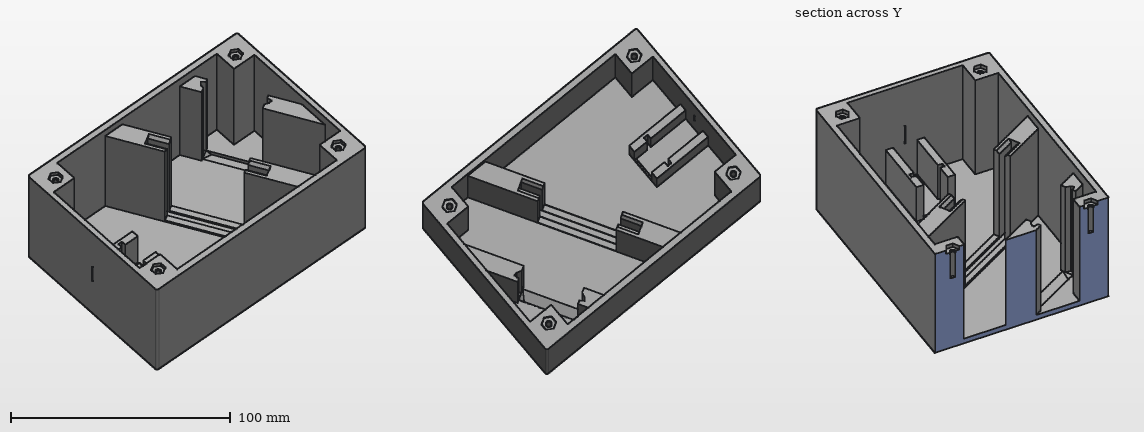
import cadquery as cq
import math

LENGTH_X = 89.0
LENGTH_Y = 126.7
HEIGHT = 58.0
SIDE_WALL = 3.2
END_WALL = 2.7
FLOOR = 3.0
CORNER_RADIUS = 1.0

POST_X = 11.8
POST_Y = 12.4
SCREW_X = 35.3
SCREW_Y = 54.5
NUT_FLATS = 5.8
NUT_DEPTH = 2.0
LEAD_DIAMETER = 2.8
LEAD_DEPTH = 1.0
SCREW_DIAMETER = 2.3
SCREW_DEPTH = 15.2

RAIL_ANGLE = 30.0
GROOVE_RAIL_TOP = 52.7
SLOT_RAIL_TOP = 53.7
RAIL_REACH = LENGTH_X + LENGTH_Y
GAP_CENTRE = 2.3

SLOT_RAIL_CENTRE = 8.5
SLOT_RAIL_WIDTH = 9.0
SLOT_RAIL_GAP = 38.0
SLOT_WIDTH = 2.9
SLOT_LENGTH = 58.4
SLOT_CHAMFER = 1.5
SILL_HEIGHT = 1.0

GROOVE_RAIL_CENTRE = 47.0
GROOVE_RAIL_WIDTH = 8.0
GROOVE_RAIL_GAP = 29.3
GROOVE_MOUTH = 49.3
GROOVE_BACK = 48.7
GROOVE_SHOULDER = 47.1
GROOVE_FRONT = 45.5
GROOVE_DEEP = 2.4
GROOVE_SHALLOW = 1.9
RAMP_FRONT = 44.1
RAMP_BACK = 49.4
RAMP_DEPTH = 2.0
RAMP_END_INSET = 2.7

HOLDER_WIDTH = 19.8
HOLDER_END = -30.4
HOLDER_HEIGHT = 20.0
CHANNEL_WIDTH = 12.3
THRESHOLD = 1.0
PLATE_SLOT_LENGTH = 17.0
PLATE_SLOT_WIDTH = 2.2
PLATE_SLOT_Y = -39.0

SLIT_WIDTH = 0.5
SLIT_HEIGHT = 10.1
SLIT_Z = 28.3

INNER_X = LENGTH_X - 2 * SIDE_WALL
INNER_Y = LENGTH_Y - 2 * END_WALL
INNER_FRONT = -INNER_Y / 2


def block(size_x, size_y, bottom, top, x=0.0, y=0.0):
    """Upright box centred on (x, y) between two heights."""
    return cq.Workplane("XY").box(size_x, size_y, top - bottom).translate((x, y, (bottom + top) / 2))


def turned(body):
    """Turn a body from along/across directions into the box directions."""
    return body.rotate((0, 0, 0), (0, 0, 1), RAIL_ANGLE)


def make_shell():
    shell = block(LENGTH_X, LENGTH_Y, 0, HEIGHT).edges("|Z").fillet(CORNER_RADIUS)
    long_space = block(INNER_X - 2 * POST_X, INNER_Y, FLOOR, HEIGHT)
    wide_space = block(INNER_X, INNER_Y - 2 * POST_Y, FLOOR, HEIGHT)
    return shell.cut(long_space.union(wide_space))


def make_screw_holes():
    nut_corners = NUT_FLATS / math.cos(math.radians(30))
    lead_top = HEIGHT - NUT_DEPTH
    centres = [(x, y) for x in (-SCREW_X, SCREW_X) for y in (-SCREW_Y, SCREW_Y)]
    top = cq.Workplane("XY").workplane(offset=HEIGHT).pushPoints(centres)
    nuts = top.polygon(6, nut_corners).extrude(-NUT_DEPTH)
    seat = cq.Workplane("XY").workplane(offset=lead_top).pushPoints(centres)
    leads = seat.circle(LEAD_DIAMETER / 2).extrude(-LEAD_DEPTH)
    screws = seat.circle(SCREW_DIAMETER / 2).extrude(-SCREW_DEPTH)
    return nuts.union(leads).union(screws)


def make_rail(across, width, top, gap, gap_bottom):
    """Full-length rail, lowered to gap_bottom between its two posts."""
    rail = block(RAIL_REACH, width, 0, top, 0, across)
    return rail.cut(block(gap, width, gap_bottom, top, GAP_CENTRE, across))


def make_slot_rail():
    rail = make_rail(SLOT_RAIL_CENTRE, SLOT_RAIL_WIDTH, SLOT_RAIL_TOP, SLOT_RAIL_GAP, FLOOR + SILL_HEIGHT)
    half_slot = SLOT_WIDTH / 2
    half_mouth = half_slot + SLOT_CHAMFER
    profile = [
        (-half_slot, FLOOR),
        (half_slot, FLOOR),
        (half_slot, SLOT_RAIL_TOP - SLOT_CHAMFER),
        (half_mouth, SLOT_RAIL_TOP),
        (-half_mouth, SLOT_RAIL_TOP),
        (-half_slot, SLOT_RAIL_TOP - SLOT_CHAMFER),
    ]
    slot = cq.Workplane("YZ").polyline(profile).close().extrude(SLOT_LENGTH / 2, both=True)
    return rail.cut(slot.translate((GAP_CENTRE, SLOT_RAIL_CENTRE, 0)))


def make_groove_rail():
    rail = make_rail(GROOVE_RAIL_CENTRE, GROOVE_RAIL_WIDTH, GROOVE_RAIL_TOP, GROOVE_RAIL_GAP, FLOOR)
    for side in (-1, 1):
        post_face = GROOVE_RAIL_GAP / 2
        profile = [
            (side * post_face, GROOVE_MOUTH),
            (side * (post_face + GROOVE_DEEP), GROOVE_BACK),
            (side * (post_face + GROOVE_SHALLOW), GROOVE_SHOULDER),
            (side * post_face, GROOVE_FRONT),
        ]
        groove = cq.Workplane("XY").workplane(offset=FLOOR).polyline(profile).close().extrude(GROOVE_RAIL_TOP)
        rail = rail.cut(groove.translate((GAP_CENTRE, 0, 0)))
    return rail


def make_ramp_pocket():
    """Floor pocket that deepens towards the rear wall, with sloping ends."""
    half_gap = GROOVE_RAIL_GAP / 2
    ramp = [(RAMP_FRONT, FLOOR), (RAMP_BACK, FLOOR), (RAMP_BACK, FLOOR - RAMP_DEPTH)]
    ends = [
        (-half_gap, FLOOR),
        (half_gap, FLOOR),
        (half_gap - RAMP_END_INSET, FLOOR - RAMP_DEPTH),
        (-half_gap + RAMP_END_INSET, FLOOR - RAMP_DEPTH),
    ]
    wedge = cq.Workplane("YZ").polyline(ramp).close().extrude(half_gap, both=True)
    trough = cq.Workplane("XZ").polyline(ends).close().extrude(-LENGTH_Y)
    return wedge.intersect(trough).translate((GAP_CENTRE, 0, 0))


def make_holder():
    length = HOLDER_END - INNER_FRONT
    middle = INNER_FRONT + length / 2
    top = FLOOR + HOLDER_HEIGHT
    holder = block(HOLDER_WIDTH, length, 0, top, 0, middle)
    threshold_top = FLOOR + THRESHOLD
    channel = block(CHANNEL_WIDTH, length, threshold_top, top, 0, middle)
    channel_floor = block(CHANNEL_WIDTH, length, FLOOR, top, 0, middle - THRESHOLD)
    plate_slot = block(PLATE_SLOT_LENGTH, PLATE_SLOT_WIDTH, FLOOR, top, 0, PLATE_SLOT_Y)
    return holder.cut(channel).cut(channel_floor).cut(plate_slot)


rails = turned(make_slot_rail().union(make_groove_rail()))
rails = rails.intersect(block(INNER_X + SIDE_WALL, INNER_Y + END_WALL, 0, HEIGHT))
slit = block(SLIT_WIDTH, END_WALL, SLIT_Z - SLIT_HEIGHT / 2, SLIT_Z + SLIT_HEIGHT / 2,
             0, INNER_FRONT - END_WALL / 2)

result = make_shell().union(rails).union(make_holder())
result = result.cut(turned(make_ramp_pocket())).cut(make_screw_holes()).cut(slit)